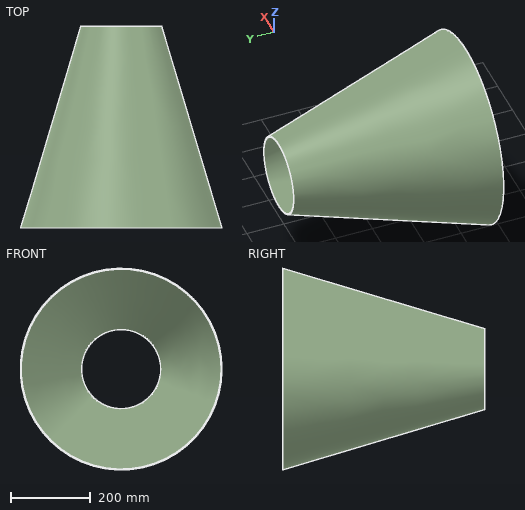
import cadquery as cq

length = 508.0
wide_diameter = 508.0
narrow_diameter = 204.0
wall = 3.0

wide_radius = wide_diameter / 2
narrow_radius = narrow_diameter / 2
front_y = -length / 2
back_y = length / 2

wall_section = (
    cq.Workplane("XY")
    .moveTo(wide_radius - wall, front_y)
    .lineTo(wide_radius, front_y)
    .lineTo(narrow_radius, back_y)
    .lineTo(narrow_radius - wall, back_y)
    .close()
)

result = wall_section.revolve(360, (0, 0, 0), (0, 1, 0))